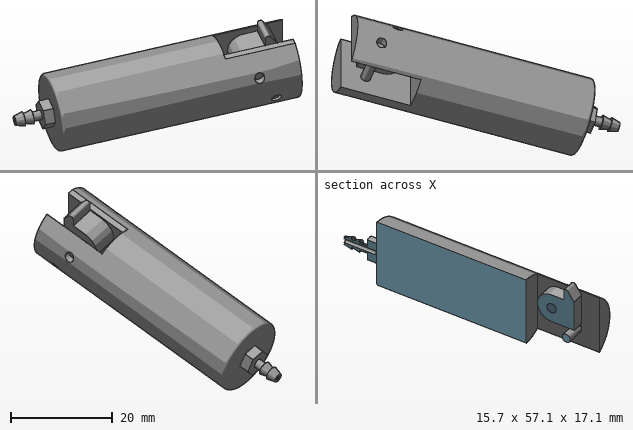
import cadquery as cq
import math

HOUSING_RADIUS = 7.85
HOUSING_LENGTH = 49.6
FRONT_FILLET = 0.5
SLOT_LENGTH = 14.5
SLOT_LEFT = -4.05
SLOT_RIGHT = 2.3
FORK_TOP = 7.0

PIN_RADIUS = 1.0
PIN_LENGTH = 12.5
PIVOT_Y = HOUSING_LENGTH - 8.6
PIVOT_Z = 3.25
STOP_Y = HOUSING_LENGTH - 5.15
STOP_Z = -2.75
PIN_CENTERS = [(PIVOT_Y, PIVOT_Z), (STOP_Y, STOP_Z)]

LEVER_WIDTH = 5.0
LEVER_RADIUS = 3.35
LEVER_END_Y = HOUSING_LENGTH - 3.3
NOSE_WALL_Y = HOUSING_LENGTH - 5.75
NOSE_TOP = 9.27
NOSE_RADIUS = 0.56
NOSE_SLOPE = math.radians(55.5)

FITTING_LENGTH = 7.5
HEX_ACROSS_FLATS = 5.0
HEX_ACROSS_CORNERS = HEX_ACROSS_FLATS * 2 / math.sqrt(3)
HEX_THICKNESS = 2.1
HEX_TURN = 3.0
STEM_RADIUS = 0.95
BARB_RADIUS = 1.45
BARB_LENGTH = 1.8
BARB_COUNT = 2
BORE_RADIUS = 0.4
BORE_POINT_ANGLE = math.radians(118)


def cross_cylinders(length):
    """Cylinders along X on both pin axes, centred on X = 0."""
    return (
        cq.Workplane("YZ")
        .pushPoints(PIN_CENTERS)
        .circle(PIN_RADIUS)
        .extrude(length / 2, both=True)
    )


def make_housing():
    diameter = 2 * HOUSING_RADIUS
    slot_start = HOUSING_LENGTH - SLOT_LENGTH
    bar = (
        cq.Workplane("XZ")
        .circle(HOUSING_RADIUS)
        .extrude(-HOUSING_LENGTH)
        .faces("<Y")
        .fillet(FRONT_FILLET)
    )
    slot = cq.Workplane("XY").box(
        SLOT_RIGHT - SLOT_LEFT, SLOT_LENGTH, diameter, centered=(False, False, True)
    ).translate((SLOT_LEFT, slot_start, 0))
    top_flat = cq.Workplane("XY").box(
        diameter, SLOT_LENGTH, HOUSING_RADIUS, centered=(True, False, False)
    ).translate((0, slot_start, FORK_TOP))
    return bar.cut(slot).cut(top_flat).cut(cross_cylinders(diameter))


def make_lever():
    lever_top = PIVOT_Z + LEVER_RADIUS
    lever_bottom = PIVOT_Z - LEVER_RADIUS
    tip_y = NOSE_WALL_Y + NOSE_RADIUS
    tip_z = NOSE_TOP - NOSE_RADIUS
    slope_y = tip_y + NOSE_RADIUS * math.sin(NOSE_SLOPE)
    slope_z = tip_z + NOSE_RADIUS * math.cos(NOSE_SLOPE)
    slope_foot_z = slope_z - (LEVER_END_Y - slope_y) * math.tan(NOSE_SLOPE)
    block = (
        cq.Workplane("YZ", origin=(SLOT_RIGHT - LEVER_WIDTH, 0, 0))
        .moveTo(PIVOT_Y, lever_top)
        .lineTo(NOSE_WALL_Y, lever_top)
        .lineTo(NOSE_WALL_Y, tip_z)
        .threePointArc((tip_y, NOSE_TOP), (slope_y, slope_z))
        .lineTo(LEVER_END_Y, slope_foot_z)
        .lineTo(LEVER_END_Y, lever_bottom)
        .lineTo(PIVOT_Y, lever_bottom)
        .threePointArc((PIVOT_Y - LEVER_RADIUS, PIVOT_Z), (PIVOT_Y, lever_top))
        .close()
        .extrude(LEVER_WIDTH)
    )
    return block.cut(cross_cylinders(PIN_LENGTH))


def make_pin(center_y, center_z):
    return (
        cq.Workplane("YZ")
        .center(center_y, center_z)
        .circle(PIN_RADIUS)
        .extrude(PIN_LENGTH / 2, both=True)
    )


def make_fitting():
    hexagon = (
        cq.Workplane("XZ")
        .polygon(6, HEX_ACROSS_CORNERS)
        .extrude(HEX_THICKNESS)
        .rotate((0, 0, 0), (0, 1, 0), HEX_TURN)
    )
    barbs_start = FITTING_LENGTH - BARB_COUNT * BARB_LENGTH
    outline = cq.Workplane("XY").lineTo(STEM_RADIUS, 0).lineTo(STEM_RADIUS, -barbs_start)
    for index in range(BARB_COUNT):
        barb_start = barbs_start + index * BARB_LENGTH
        outline = (
            outline.lineTo(BARB_RADIUS, -barb_start)
            .lineTo(STEM_RADIUS, -barb_start - BARB_LENGTH)
        )
    stem = outline.lineTo(0, -FITTING_LENGTH).close().revolve(360, (0, 0, 0), (0, 1, 0))
    point_length = BORE_RADIUS / math.tan(BORE_POINT_ANGLE / 2)
    bore = (
        cq.Workplane("XY")
        .moveTo(0, -FITTING_LENGTH)
        .lineTo(BORE_RADIUS, -FITTING_LENGTH)
        .lineTo(BORE_RADIUS, -point_length)
        .lineTo(0, 0)
        .close()
        .revolve(360, (0, 0, 0), (0, 1, 0))
    )
    return hexagon.union(stem).cut(bore)


housing = make_housing()
lever = make_lever()
pins = [make_pin(*center) for center in PIN_CENTERS]
fitting = make_fitting()

result = cq.Compound.makeCompound(
    [housing.val(), lever.val(), *[pin.val() for pin in pins], fitting.val()]
)